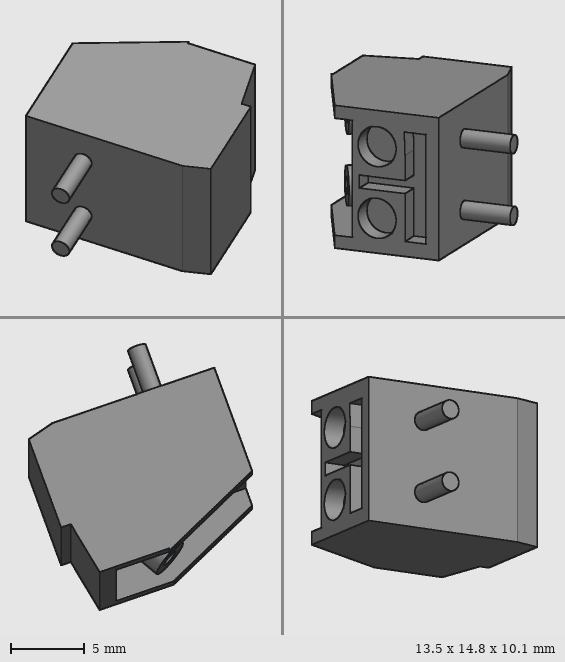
import cadquery as cq
import math

LENGTH = 13.53
WIDTH = 10.06
TOP_Y = 10.92
RIDGE_X = 7.11
RIDGE_Y = 11.06
FRONT_Y = 7.68
STEP_X = 12.83
STEP_Y = 7.1
TOP_END_X = 12.11
CHAMFER_X = 1.89
CHAMFER_Y = 0.53

SIDE_WALL = 0.91
POCKET_FLOOR_Y = 6.4
POCKET_BACK_X = 10.92

POLE_PITCH = 5.05
FIRST_POLE_Z = 2.46
POLE_Z = [FIRST_POLE_Z, FIRST_POLE_Z + POLE_PITCH]

TUBE_D = 2.76
TUBE_BORE_D = 1.21
TUBE_TILT = math.radians(30)
TUBE_END_X = 6.64
TUBE_END_Y = 9.7
TUBE_LENGTH = 5.6

WIRE_D = 2.82
WIRE_Y = 4.56
WIRE_DEPTH = 1.5

SLOT_DEPTH = WIRE_DEPTH
SLOT_BAR_Y = 0.95
SLOT_STEM_Y = 2.5
SLOT_END_Y = 5.87
SLOT_BAR_LENGTH = 7.7
SLOT_BAR_Z = 1.06
SLOT_STEM_Z = 4.44
SLOT_STEM_WIDTH = 0.91
SLOT_TAPER_HEIGHT = 1.61
SLOT_TAPER = 0.06

PIN_D = 1.3
PIN_X = 4.26
PIN_LENGTH = 3.69


def box(x0, x1, y0, y1, z0, z1):
    """Box between two opposite corners."""
    return cq.Workplane("XY").box(x1 - x0, y1 - y0, z1 - z0, centered=False).translate((x0, y0, z0))


def cylinder(diameter, length, start, direction):
    """Round bar from a start point along a direction."""
    return cq.Workplane(
        cq.Solid.makeCylinder(diameter / 2, length, cq.Vector(*start), cq.Vector(*direction))
    )


def housing():
    profile = [
        (0, 0),
        (LENGTH - CHAMFER_X, 0),
        (LENGTH, CHAMFER_Y),
        (LENGTH, STEP_Y),
        (STEP_X, STEP_Y),
        (TOP_END_X, TOP_Y),
        (RIDGE_X, TOP_Y),
        (RIDGE_X, RIDGE_Y),
        (0, FRONT_Y),
    ]
    body = cq.Workplane("XY").polyline(profile).close().extrude(WIDTH)
    body = body.cut(box(0, LENGTH, TOP_Y, RIDGE_Y, 0, WIDTH - SIDE_WALL))
    pocket = box(0, POCKET_BACK_X, POCKET_FLOOR_Y, RIDGE_Y, SIDE_WALL, WIDTH - SIDE_WALL)
    return body.cut(pocket)


def t_slot():
    bar = box(0, SLOT_DEPTH, SLOT_BAR_Y, SLOT_STEM_Y, SLOT_BAR_Z, SLOT_BAR_Z + SLOT_BAR_LENGTH)
    stem = box(0, SLOT_DEPTH, SLOT_STEM_Y, SLOT_END_Y, SLOT_STEM_Z, SLOT_STEM_Z + SLOT_STEM_WIDTH)
    top_z = SLOT_BAR_Z + SLOT_BAR_LENGTH
    taper = (
        cq.Workplane("YZ")
        .moveTo(SLOT_STEM_Y, top_z - SLOT_TAPER_HEIGHT)
        .lineTo(SLOT_STEM_Y + SLOT_TAPER, top_z)
        .lineTo(SLOT_STEM_Y, top_z)
        .close()
        .extrude(SLOT_DEPTH)
    )
    return bar.union(stem).union(taper)


result = housing().cut(t_slot())

for z in POLE_Z:
    tube_end = (TUBE_END_X, TUBE_END_Y, z)
    tube_axis = (math.sin(TUBE_TILT), -math.cos(TUBE_TILT), 0)
    result = result.union(cylinder(TUBE_D, TUBE_LENGTH, tube_end, tube_axis))
    result = result.cut(cylinder(TUBE_BORE_D, TUBE_LENGTH, tube_end, tube_axis))
    result = result.cut(cylinder(WIRE_D, WIRE_DEPTH, (0, WIRE_Y, z), (1, 0, 0)))
    result = result.union(cylinder(PIN_D, PIN_LENGTH, (PIN_X, 0, z), (0, -1, 0)))